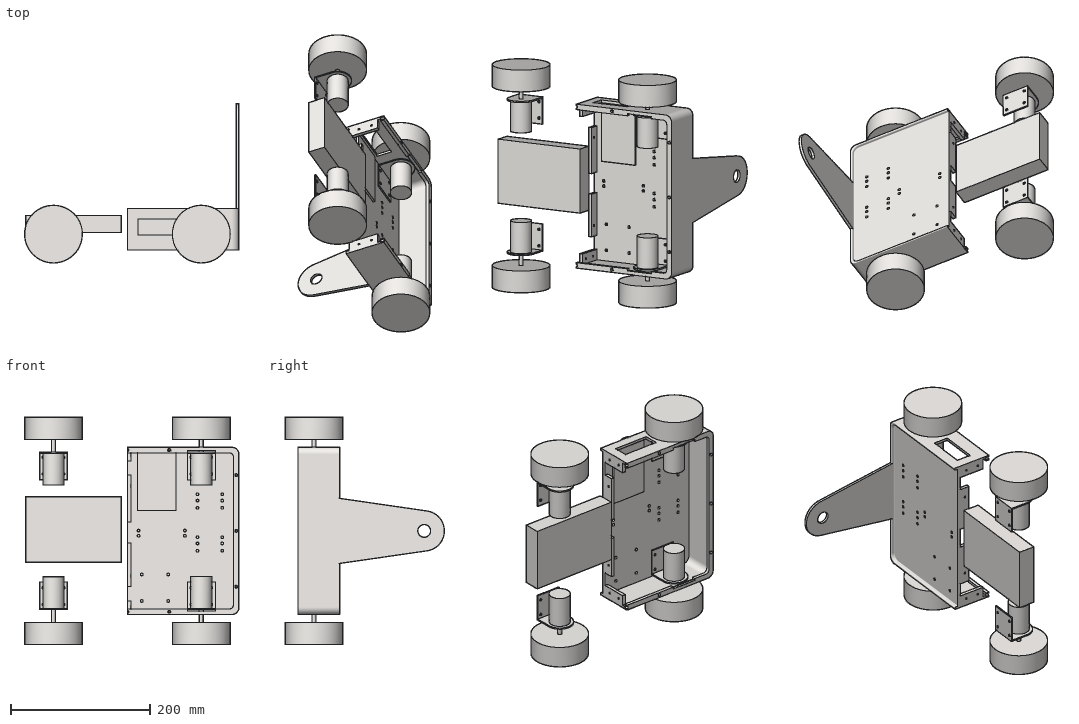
import cadquery as cq
import math


CHASSIS_LENGTH = 160.0
CHASSIS_DEPTH = 60.0
CHASSIS_WIDTH = 240.0
WALL = 4.0
CORNER_RADIUS = 10.0
RIM_HEIGHT = 5.0
FLOOR_THICKNESS = 5.0
RIM_OUTER_FILLET = 1.0
RIM_INNER_FILLET = 2.0
RECESS_FLOOR_FILLET = 1.0

FLANGE_WIDTH = 8.0
FLANGE_THICKNESS = 5.0
FLANGE_HOLE_DIAMETER = 4.0
FLANGE_HOLE_INSET = FLANGE_WIDTH / 2
SIDE_FLANGE_PITCH = 60.0
END_FLANGE_PITCH = 80.0
BRACKET_NOTCH_SKIN = 5.0

FLOOR_FRONT = -(RIM_HEIGHT + FLOOR_THICKNESS)
INNER_HALF_WIDTH = CHASSIS_WIDTH / 2 - WALL

END_WALL = 5.0
TALL_WALL_FRONT = -50.0
LOW_WALL_FRONT = -25.0
TALL_WALL_EDGE = 100.5
LOW_WALL_EDGE = 80.0
CABLE_GAP_TOP = 12.5
CABLE_GAP_BOTTOM = -17.5
END_WALL_HOLE_DIAMETER = 2.5
END_WALL_HOLES = [(20.5, 109.0), (40.5, 109.0), (18.0, 64.5)]

WINDOW_START = 15.5
WINDOW_LENGTH = 56.5
WINDOW_BACK = -15.5
WINDOW_FRONT = -38.0

FLOOR_HOLE_DIAMETER = 3.8
FLOOR_HOLE_DEPTH = 4.0
DRIVER_COLUMNS = [100.5, 136.0]
DRIVER_ROWS = [52.5, 43.5, 33.0]
DRIVER_PITCH = 61.5
SENSOR_COLUMNS = [16.0, 82.5]
SENSOR_ROWS = [0.5, -7.0]
MODULE_COLUMNS = [20.5, 58.5]
MODULE_ROWS = [-62.5, -100.5]

TONGUE_REACH = 150.0
TONGUE_TIP_RADIUS = 29.0
TONGUE_HALF_BASE = 47.5
TONGUE_HOLE_DIAMETER = 18.0

AXLE_X = 106.0
AXLE_Y = -37.0
WHEEL_DIAMETER = 83.0
WHEEL_WIDTH = 32.0
WHEEL_OUTER_Z = 163.0
SHAFT_DIAMETER = 6.0
MOTOR_DIAMETER = 30.5
MOTOR_INNER_Z = 65.5
BRACKET_SIZE = 40.0
BRACKET_THICKNESS = 2.0
BRACKET_OUTER_Z = 113.0
BRACKET_NOSE_RADIUS = 20.0
BRACKET_HOLE_DIAMETER = 3.5
BRACKET_HOLE_HALF_PITCH = 14.5
BRACKET_HOLE_DEPTHS = [7.5, 31.5]

BATTERY_START = -146.0
BATTERY_LENGTH = 137.5
BATTERY_THICKNESS = 25.0
BATTERY_BOTTOM = -45.0
BATTERY_HEIGHT = 94.0
BOARD_START = 14.5
BOARD_LENGTH = 55.5
BOARD_THICKNESS = 3.0
BOARD_BOTTOM = 29.5
BOARD_HEIGHT = 85.0


def block(x0, x1, y0, y1, z0, z1):
    """Box between two opposite corners."""
    return cq.Workplane("XY").box(x1 - x0, y1 - y0, z1 - z0, centered=False).translate((x0, y0, z0))


def y_cylinder(x, z, diameter, y0, y1):
    """Cylinder along Y from y0 up to y1."""
    return cq.Workplane("XZ", origin=(x, y1, z)).circle(diameter / 2).extrude(y1 - y0)


def z_cylinder(x, y, diameter, z0, z1):
    """Cylinder along Z from z0 up to z1."""
    return cq.Workplane("XY", origin=(x, y, z0)).circle(diameter / 2).extrude(z1 - z0)


def tray_layer(inset, radius, y0, y1, start=0.0):
    """Layer of the tray plan, inset from its closed sides, with two rounded corners."""
    half = CHASSIS_WIDTH / 2 - inset
    layer = block(start, CHASSIS_LENGTH - inset, y0, y1, -half, half)
    return layer.edges("|Y and >X").fillet(radius)


def tray_shell():
    overrun = -2 * CORNER_RADIUS
    shell = tray_layer(0, CORNER_RADIUS, -CHASSIS_DEPTH, 0)
    shell = shell.faces(">Y").edges("not <X").fillet(RIM_OUTER_FILLET)
    recess = tray_layer(WALL, CORNER_RADIUS, -RIM_HEIGHT, 0, overrun)
    recess = recess.faces("<Y").edges("not <X").fillet(RECESS_FLOOR_FILLET)
    shell = shell.cut(recess)
    recess_side = cq.selectors.BoxSelector(
        (RIM_OUTER_FILLET, -RIM_OUTER_FILLET / 2, -CHASSIS_WIDTH / 2 + 2 * RIM_OUTER_FILLET),
        (CHASSIS_LENGTH - 2 * RIM_OUTER_FILLET, RIM_OUTER_FILLET / 2,
         CHASSIS_WIDTH / 2 - 2 * RIM_OUTER_FILLET))
    shell = shell.faces(">Y").edges(recess_side).edges("not <X").fillet(RIM_INNER_FILLET)
    cavity = tray_layer(WALL, CORNER_RADIUS, FLANGE_THICKNESS - CHASSIS_DEPTH, FLOOR_FRONT, overrun)
    mouth_radius = CORNER_RADIUS - (FLANGE_WIDTH - WALL)
    mouth = tray_layer(FLANGE_WIDTH, mouth_radius, -CHASSIS_DEPTH, FLOOR_FRONT, overrun)
    return shell.cut(cavity).cut(mouth)


def end_walls():
    """Two tall walls at the sides and two low walls beside the cable gap."""
    spans = [
        (TALL_WALL_EDGE, INNER_HALF_WIDTH, TALL_WALL_FRONT),
        (CABLE_GAP_TOP, LOW_WALL_EDGE, LOW_WALL_FRONT),
        (-LOW_WALL_EDGE, CABLE_GAP_BOTTOM, LOW_WALL_FRONT),
        (-INNER_HALF_WIDTH, -TALL_WALL_EDGE, TALL_WALL_FRONT),
    ]
    walls = cq.Workplane("XY")
    for bottom, top, front in spans:
        walls = walls.add(block(0, END_WALL, front, FLOOR_FRONT, bottom, top))
    return walls.combine()


def end_wall_holes():
    holes = cq.Workplane("YZ")
    points = [(-depth, side * z) for depth, z in END_WALL_HOLES for side in (-1, 1)]
    return holes.pushPoints(points).circle(END_WALL_HOLE_DIAMETER / 2).extrude(END_WALL)


def tongue():
    """Tapered plate with a round tip, tangent to its straight sides."""
    tip_center = TONGUE_REACH - TONGUE_TIP_RADIUS
    run = tip_center + RIM_HEIGHT
    reach = math.hypot(run, TONGUE_HALF_BASE)
    tangent_angle = math.acos(TONGUE_TIP_RADIUS / reach) + math.atan2(-run, TONGUE_HALF_BASE)
    tangent_y = tip_center + TONGUE_TIP_RADIUS * math.sin(tangent_angle)
    tangent_z = TONGUE_TIP_RADIUS * math.cos(tangent_angle)
    plate = (
        cq.Workplane("YZ", origin=(CHASSIS_LENGTH - WALL, 0, 0))
        .moveTo(-RIM_HEIGHT, -TONGUE_HALF_BASE)
        .lineTo(tangent_y, -tangent_z)
        .threePointArc((TONGUE_REACH, 0), (tangent_y, tangent_z))
        .lineTo(-RIM_HEIGHT, TONGUE_HALF_BASE)
        .close()
        .extrude(WALL)
    )
    eye = (
        cq.Workplane("YZ", origin=(CHASSIS_LENGTH - WALL, tip_center, 0))
        .circle(TONGUE_HOLE_DIAMETER / 2)
        .extrude(WALL)
    )
    return plate.cut(eye)


def flange_holes():
    side_z = CHASSIS_WIDTH / 2 - FLANGE_HOLE_INSET
    points = [(column * SIDE_FLANGE_PITCH, side * side_z) for column in (0, 1) for side in (-1, 1)]
    points += [(CHASSIS_LENGTH - FLANGE_HOLE_INSET, row * END_FLANGE_PITCH) for row in (-1, 0, 1)]
    holes = cq.Workplane("XY")
    for x, z in points:
        holes = holes.add(y_cylinder(x, z, FLANGE_HOLE_DIAMETER, -CHASSIS_DEPTH,
                                     FLANGE_THICKNESS - CHASSIS_DEPTH))
    return holes.combine()


def floor_holes():
    points = [(x, z - group * DRIVER_PITCH)
              for group in (0, 1) for x in DRIVER_COLUMNS for z in DRIVER_ROWS]
    points += [(x, z) for x in SENSOR_COLUMNS for z in SENSOR_ROWS]
    points += [(x, z) for x in MODULE_COLUMNS for z in MODULE_ROWS]
    holes = cq.Workplane("XY")
    for x, z in points:
        holes = holes.add(y_cylinder(x, z, FLOOR_HOLE_DIAMETER,
                                     FLOOR_FRONT, FLOOR_FRONT + FLOOR_HOLE_DEPTH))
    return holes.combine()


def drive_clearance(side):
    """Flange notch for a motor bracket and the shaft hole through the side wall."""
    notch_z = CHASSIS_WIDTH / 2 - BRACKET_NOTCH_SKIN
    notch = block(AXLE_X - BRACKET_SIZE / 2, AXLE_X + BRACKET_SIZE / 2,
                  -CHASSIS_DEPTH, FLANGE_THICKNESS - CHASSIS_DEPTH, 0, notch_z)
    bore = z_cylinder(AXLE_X, AXLE_Y, SHAFT_DIAMETER, 0, CHASSIS_WIDTH / 2)
    clearance = notch.union(bore)
    return clearance if side > 0 else clearance.mirror("XY")


def make_chassis():
    chassis = tray_shell().union(end_walls()).union(tongue())
    window = block(WINDOW_START, WINDOW_START + WINDOW_LENGTH, WINDOW_FRONT, WINDOW_BACK,
                   INNER_HALF_WIDTH, CHASSIS_WIDTH / 2)
    chassis = chassis.cut(end_wall_holes()).cut(window)
    chassis = chassis.cut(flange_holes()).cut(floor_holes())
    for side in (-1, 1):
        chassis = chassis.cut(drive_clearance(side))
    return chassis


def make_bracket():
    """Angle bracket: a square plate on the floor plane and a round-nosed motor plate."""
    half = BRACKET_SIZE / 2
    back_plate = block(AXLE_X - half, AXLE_X + half, FLOOR_FRONT - BRACKET_THICKNESS, FLOOR_FRONT,
                       BRACKET_OUTER_Z - BRACKET_SIZE, BRACKET_OUTER_Z)
    for depth in BRACKET_HOLE_DEPTHS:
        for offset in (-BRACKET_HOLE_HALF_PITCH, BRACKET_HOLE_HALF_PITCH):
            back_plate = back_plate.cut(
                y_cylinder(AXLE_X + offset, BRACKET_OUTER_Z - depth, BRACKET_HOLE_DIAMETER,
                           FLOOR_FRONT - BRACKET_THICKNESS, FLOOR_FRONT))
    motor_plate = (
        cq.Workplane("XY", origin=(0, 0, BRACKET_OUTER_Z - BRACKET_THICKNESS))
        .moveTo(AXLE_X - half, FLOOR_FRONT)
        .lineTo(AXLE_X - half, AXLE_Y)
        .threePointArc((AXLE_X, AXLE_Y - BRACKET_NOSE_RADIUS), (AXLE_X + half, AXLE_Y))
        .lineTo(AXLE_X + half, FLOOR_FRONT)
        .close()
        .extrude(BRACKET_THICKNESS)
    )
    return back_plate.union(motor_plate)


def make_wheel_drive(front_end, side):
    """Wheel, shaft, motor and bracket in one piece; front_end and side are -1 or 1."""
    wheel_inner_z = WHEEL_OUTER_Z - WHEEL_WIDTH
    motor_top_z = BRACKET_OUTER_Z - BRACKET_THICKNESS
    motor = z_cylinder(AXLE_X, AXLE_Y, MOTOR_DIAMETER, MOTOR_INNER_Z, motor_top_z)
    shaft = z_cylinder(AXLE_X, AXLE_Y, SHAFT_DIAMETER, BRACKET_OUTER_Z, wheel_inner_z)
    wheel = z_cylinder(AXLE_X, AXLE_Y, WHEEL_DIAMETER, wheel_inner_z, WHEEL_OUTER_Z)
    drive = make_bracket().union(motor).union(shaft).union(wheel)
    if front_end < 0:
        drive = drive.mirror("YZ")
    if side < 0:
        drive = drive.mirror("XY")
    return drive


def make_battery():
    return block(BATTERY_START, BATTERY_START + BATTERY_LENGTH,
                 FLOOR_FRONT - BATTERY_THICKNESS, FLOOR_FRONT,
                 BATTERY_BOTTOM, BATTERY_BOTTOM + BATTERY_HEIGHT)


def make_circuit_board():
    return block(BOARD_START, BOARD_START + BOARD_LENGTH,
                 FLOOR_FRONT - BOARD_THICKNESS, FLOOR_FRONT,
                 BOARD_BOTTOM, BOARD_BOTTOM + BOARD_HEIGHT)


chassis = make_chassis()
wheel_drives = [make_wheel_drive(end, side) for end in (-1, 1) for side in (-1, 1)]
battery = make_battery()
circuit_board = make_circuit_board()

result = cq.Compound.makeCompound(
    [chassis.val(), battery.val(), circuit_board.val()] + [drive.val() for drive in wheel_drives]
)